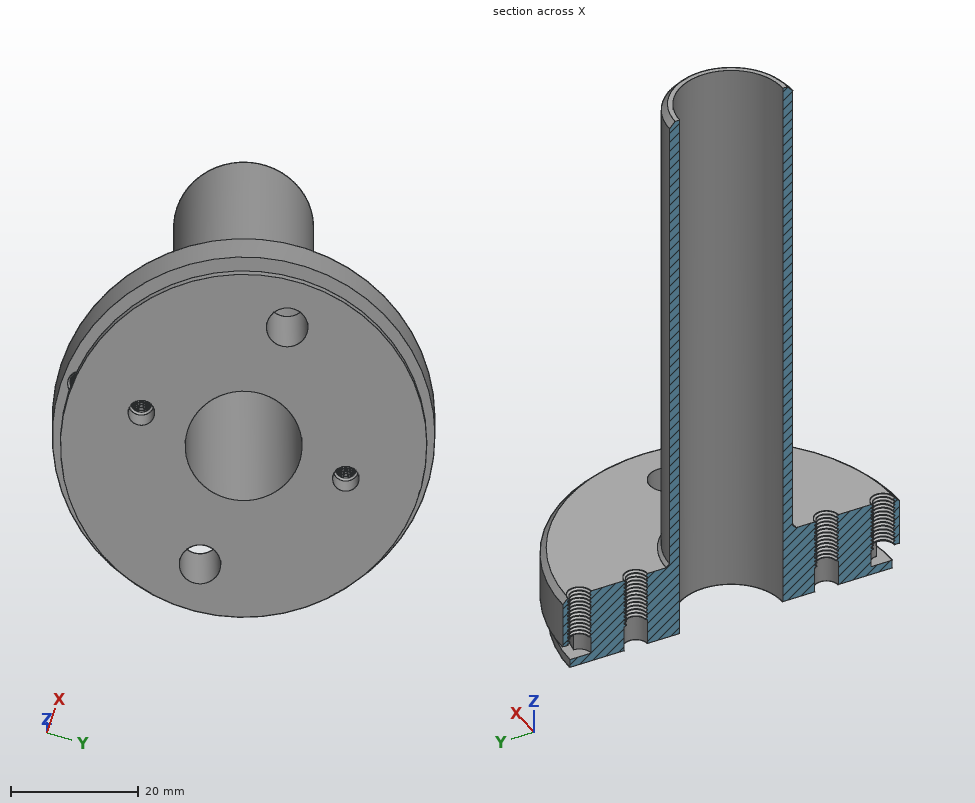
import cadquery as cq
import math

total_height = 98.6
tube_diameter = 22.0
bore_diameter = 18.3
tube_chamfer_height = 1.1
tube_chamfer_width = 1.0
root_flare = 0.6

head_diameter = 60.0
rim_diameter = 57.5
groove_diameter = 54.0
rim_top = 1.6
groove_top = 4.3
head_top = 13.5
head_chamfer = 1.0

bolt_hole_diameter = 6.5
bolt_hole_offset = 21.0

thread_major_diameter = 4.1
thread_minor_diameter = 3.4
thread_pitch = 0.7
thread_flank_angle = 30
inner_screw_offset = 17.0
outer_screw_offset = groove_diameter / 2


def disc(diameter, bottom, top):
    """Solid cylinder on the Z axis between two heights."""
    return cq.Workplane("XY", origin=(0, 0, bottom)).circle(diameter / 2).extrude(top - bottom)


def flange():
    """Stepped base disc with a chamfered top edge."""
    rim = disc(rim_diameter, 0, rim_top)
    groove = disc(groove_diameter, rim_top, groove_top)
    head = disc(head_diameter, groove_top, head_top).faces(">Z").chamfer(head_chamfer)
    return rim.union(groove).union(head)


def tube():
    """Upright post with a chamfered top and a conical flare where it meets the base."""
    tube_radius = tube_diameter / 2
    post = (
        cq.Workplane("XZ")
        .lineTo(tube_radius, 0)
        .lineTo(tube_radius, total_height - tube_chamfer_height)
        .lineTo(tube_radius - tube_chamfer_width, total_height)
        .lineTo(0, total_height)
        .close()
        .revolve(360, (0, 0), (0, 1))
    )
    flare_base = cq.Vector(0, 0, head_top)
    flare = cq.Solid.makeCone(tube_radius + root_flare, tube_radius, root_flare, pnt=flare_base)
    return post.union(cq.Workplane(flare))


def screw_hole(bottom):
    """Cutter threaded through the head and plain below it; the thread is a stack of ring ridges."""
    major_radius = thread_major_diameter / 2
    minor_radius = thread_minor_diameter / 2
    flank = (major_radius - minor_radius) * math.tan(math.radians(thread_flank_angle))
    flat = thread_pitch / 2 - flank
    turns = math.floor((head_top - groove_top) / thread_pitch)

    profile = cq.Workplane("XZ").moveTo(0, head_top).lineTo(major_radius, head_top)
    for turn in range(turns):
        ridge_top = head_top - turn * thread_pitch - flat
        profile = (
            profile.lineTo(major_radius, ridge_top)
            .lineTo(minor_radius, ridge_top - flank)
            .lineTo(minor_radius, ridge_top - flank - flat)
            .lineTo(major_radius, ridge_top - 2 * flank - flat)
        )
    return profile.lineTo(major_radius, bottom).lineTo(0, bottom).close().revolve(360, (0, 0), (0, 1))


bolt_hole = disc(bolt_hole_diameter, 0, head_top)
inner_screw_hole = screw_hole(bottom=0)
outer_screw_hole = screw_hole(bottom=rim_top)

result = flange().union(tube()).cut(disc(bore_diameter, 0, total_height))
for side in (-1, 1):
    result = result.cut(bolt_hole.translate((side * bolt_hole_offset, 0, 0)))
    result = result.cut(inner_screw_hole.translate((0, side * inner_screw_offset, 0)))
    result = result.cut(outer_screw_hole.translate((0, side * outer_screw_offset, 0)))